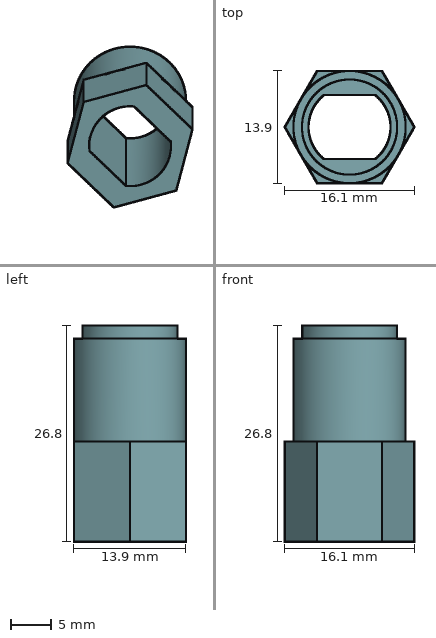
import cadquery as cq
import math

total_height = 26.8
hex_height = 12.44
collar_height = 1.63
shoulder_height = total_height - collar_height

across_flats = 13.9
across_corners = across_flats / math.cos(math.radians(30))
body_diameter = across_flats
collar_diameter = 11.8

bore_diameter = 10.13
bore_across_flats = 7.88


def cylinder(diameter, height):
    """Upright cylinder standing on the base plane."""
    return cq.Workplane("XY").circle(diameter / 2).extrude(height)


def double_flat_bore():
    """Round bore volume trimmed by two parallel flats."""
    flats = cq.Workplane("XY").rect(bore_diameter, bore_across_flats).extrude(total_height)
    return cylinder(bore_diameter, total_height).intersect(flats)


hex_base = cq.Workplane("XY").polygon(6, across_corners).extrude(hex_height)
body = cylinder(body_diameter, shoulder_height)
collar = cylinder(collar_diameter, total_height)

result = hex_base.union(body).union(collar).cut(double_flat_bore())